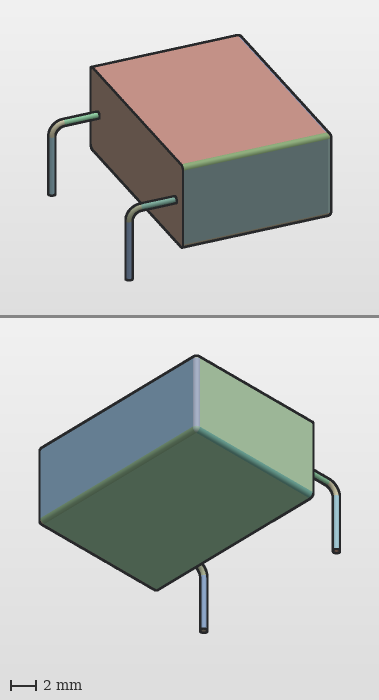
import cadquery as cq

body_width = 18.0
body_depth = 13.0
body_height = 7.5
edge_radius = 0.4

lead_diameter = 0.6
lead_pitch = 15.0
lead_straight = 3.0
bend_radius = 1.0
lead_drop = 2.5
lead_height = body_height / 2


def make_housing():
    """Box rounded on every edge except those around the flat lead face."""
    box = cq.Workplane("XY").box(
        body_width, body_depth, body_height, centered=(True, False, False)
    )
    return box.edges("|Y or >Y").fillet(edge_radius)


def make_lead(x):
    """Round wire that leaves the lead face and bends down to its tip."""
    bend_start_y = -lead_straight
    down_y = bend_start_y - bend_radius
    path = (
        cq.Workplane("YZ", origin=(x, 0, 0))
        .moveTo(0, lead_height)
        .lineTo(bend_start_y, lead_height)
        .tangentArcPoint((down_y, lead_height - bend_radius), relative=False)
        .lineTo(down_y, -lead_drop)
    )
    section = cq.Workplane("XZ", origin=(x, 0, lead_height)).circle(lead_diameter / 2)
    return section.sweep(path)


housing = make_housing()
leads = [make_lead(side * lead_pitch / 2) for side in (-1, 1)]

result = cq.Compound.makeCompound([housing.val(), *[lead.val() for lead in leads]])